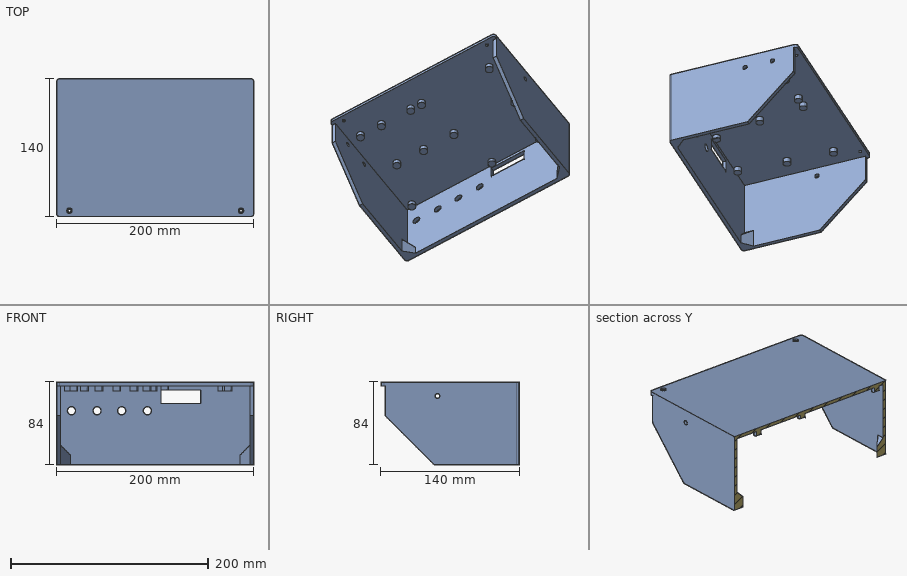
import cadquery as cq

LENGTH = 200.0
DEPTH = 140.0
HEIGHT = 84.0
WALL = 4.0
CORNER_RADIUS = 3.0

WALL_SETBACK = 4.0
SLOPE = 50.0

GUSSET_LEG = 10.0
GUSSET_HEIGHT = 20.0

SCREW_INSET_X = 13.0
SCREW_INSET_Y = 6.0
SCREW_DIAMETER = 3.0
SCREW_HEAD_DIAMETER = 5.5
SCREW_HEAD_DEPTH = 1.5

JACK_DIAMETER = 8.0
JACK_Z = 55.0
JACK_XS = [15.0, 41.0, 66.0, 92.0]
WINDOW_X = 106.0
WINDOW_LENGTH = 40.0
WINDOW_HEIGHT = 13.5
WINDOW_BELOW_TOP = 8.0

SIDE_HOLE_DIAMETER = 4.5
SIDE_HOLE_Z = 70.0
THROUGH_HOLE_Y = 57.0
LEFT_HOLE_Y = 27.0

STANDOFF_DIAMETER = 8.0
STANDOFF_HEIGHT = 5.0
FRONT_ROW_Y = 30.0
MIDDLE_ROW_Y = 80.0
BACK_ROW_Y = DEPTH - WALL - STANDOFF_DIAMETER / 2
STANDOFF_ROWS = [
    (FRONT_ROW_Y, [17.5, 42.8, 78.5, 91.5, 174.0]),
    (MIDDLE_ROW_Y, [28.5, 61.0, 97.8, 172.0]),
    (BACK_ROW_Y, [12.2, 109.5, 167.5]),
]

LID_BOTTOM = HEIGHT - WALL
INNER_BACK = DEPTH - WALL


def make_shell():
    """Lid, back wall and side walls, open at the front and the bottom."""
    block = (
        cq.Workplane("XY")
        .box(LENGTH, DEPTH, HEIGHT, centered=False)
        .edges("|Z")
        .fillet(CORNER_RADIUS)
    )
    cavity = cq.Workplane("XY").box(LENGTH - 2 * WALL, INNER_BACK, LID_BOTTOM, centered=False)
    front_profile = [
        (0, 0),
        (WALL_SETBACK + SLOPE, 0),
        (WALL_SETBACK, SLOPE),
        (WALL_SETBACK, LID_BOTTOM),
        (0, LID_BOTTOM),
    ]
    front_cut = cq.Workplane("YZ").polyline(front_profile).close().extrude(LENGTH)
    return block.cut(cavity.translate((WALL, 0, 0))).cut(front_cut)


def make_left_gusset():
    """Triangular corner block whose top falls at 45 degrees away from the side wall."""
    plan = [
        (WALL, INNER_BACK),
        (WALL, INNER_BACK - GUSSET_LEG),
        (WALL + GUSSET_LEG, INNER_BACK),
    ]
    profile = [
        (WALL, 0),
        (WALL + GUSSET_LEG, 0),
        (WALL + GUSSET_LEG, GUSSET_HEIGHT - GUSSET_LEG),
        (WALL, GUSSET_HEIGHT),
    ]
    column = cq.Workplane("XY").polyline(plan).close().extrude(GUSSET_HEIGHT)
    sloped = cq.Workplane("XZ").polyline(profile).close().extrude(-DEPTH)
    return column.intersect(sloped)


def make_standoffs():
    points = [(x, y) for y, xs in STANDOFF_ROWS for x in xs]
    return (
        cq.Workplane("XY", origin=(0, 0, LID_BOTTOM - STANDOFF_HEIGHT))
        .pushPoints(points)
        .circle(STANDOFF_DIAMETER / 2)
        .extrude(STANDOFF_HEIGHT)
    )


def make_jack_holes():
    return (
        cq.Workplane("XZ", origin=(0, DEPTH, 0))
        .pushPoints([(x, JACK_Z) for x in JACK_XS])
        .circle(JACK_DIAMETER / 2)
        .extrude(WALL)
    )


def make_window():
    """Cuts through the back wall and trims the standoff that stands against it."""
    cut_depth = WALL + STANDOFF_DIAMETER
    bottom = HEIGHT - WINDOW_BELOW_TOP - WINDOW_HEIGHT
    window = cq.Workplane("XY").box(WINDOW_LENGTH, cut_depth, WINDOW_HEIGHT, centered=False)
    return window.translate((WINDOW_X, DEPTH - cut_depth, bottom))


def make_side_hole(y, length):
    return (
        cq.Workplane("YZ")
        .center(y, SIDE_HOLE_Z)
        .circle(SIDE_HOLE_DIAMETER / 2)
        .extrude(length)
    )


def cut_lid_screw_holes(cover):
    screw_xs = [SCREW_INSET_X, LENGTH - SCREW_INSET_X]
    return (
        cover.faces(">Z")
        .workplane(origin=(0, 0, HEIGHT))
        .pushPoints([(x, SCREW_INSET_Y) for x in screw_xs])
        .cboreHole(SCREW_DIAMETER, SCREW_HEAD_DIAMETER, SCREW_HEAD_DEPTH)
    )


left_gusset = make_left_gusset()
right_gusset = left_gusset.mirror("YZ", (LENGTH / 2, 0, 0))
cover = make_shell().union(left_gusset).union(right_gusset).union(make_standoffs())
cover = cover.cut(make_jack_holes()).cut(make_window())

cover = cover.cut(make_side_hole(THROUGH_HOLE_Y, LENGTH))
cover = cover.cut(make_side_hole(LEFT_HOLE_Y, WALL))

result = cut_lid_screw_holes(cover)